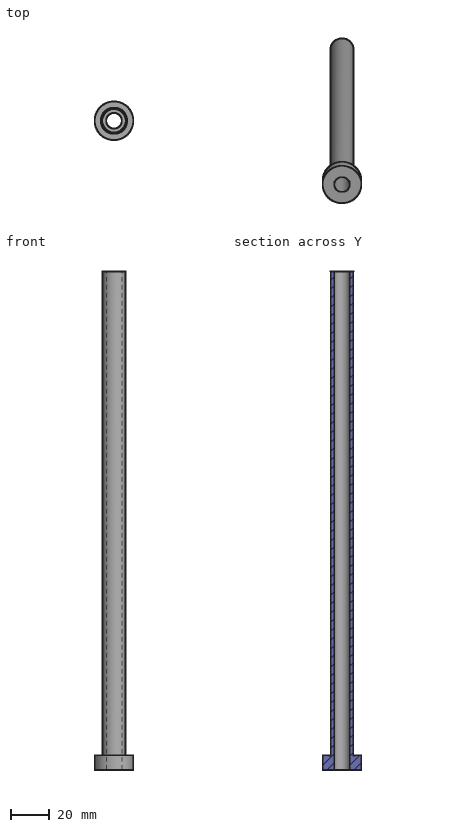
import cadquery as cq

total_length = 257.0
head_diameter = 20.0
head_height = 7.7
shaft_diameter = 12.0
bore_diameter = 8.0

relief_width = 0.8
relief_depth = 0.13

relief_diameter = shaft_diameter + 2 * relief_width
relief_floor = head_height - relief_depth


def cylinder(diameter, bottom, top):
    """Cylinder on the Z axis between two heights."""
    return cq.Workplane("XY").workplane(offset=bottom).circle(diameter / 2).extrude(top - bottom)


head = cylinder(head_diameter, 0, head_height)
relief = cylinder(relief_diameter, relief_floor, head_height)
shaft = cylinder(shaft_diameter, 0, total_length)
bore = cylinder(bore_diameter, 0, total_length)

result = head.cut(relief).union(shaft).cut(bore)